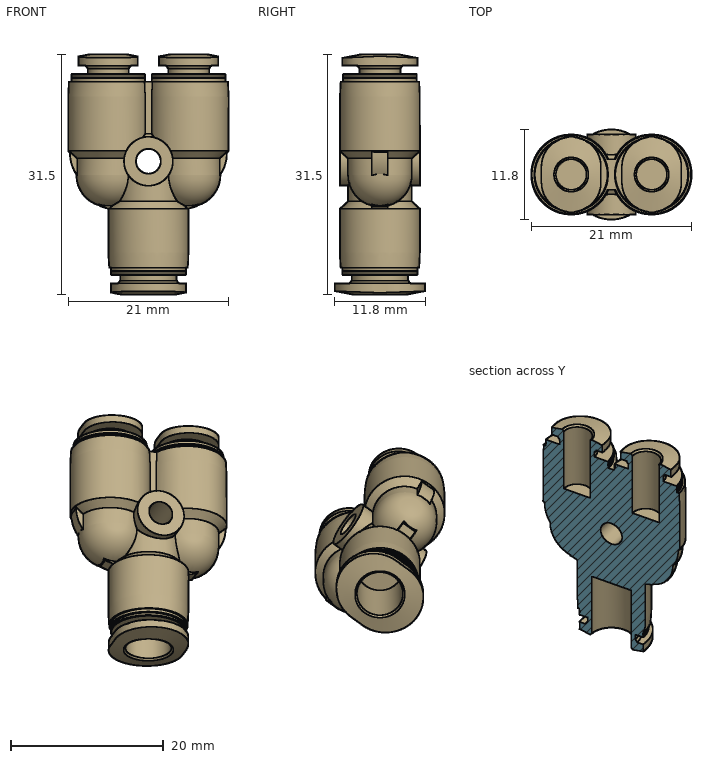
import cadquery as cq
import math

height = 31.5
body_radius = 5.243
port_offset = 5.25
core_radius = 4.2
shoulder_height = 0.98

crown_height = 0.5
flange_back = 1.5
flare_end = 1.9
collar_end = 2.58
collar_chamfer = 0.1
groove_start = 3.05
groove_width = 0.13
groove_depth = 0.1
body_end = 3.6
crowned_body_end = 5.57
crowned_end_inset = 0.1
lower_body_length = 11.27
upper_body_length = 12.65

neck_flare = 0.28
bore_chamfer = 0.25
crown_rim = 0.1
bore_depth = 9.45

dome_z = 15.7

boss_z = 17.48
boss_diameter = 6.4
hole_diameter = 3.2

web_top = height - body_end
web_half = 2.0
web_base_half = 2.7
web_step_top = 21.07
web_step_bottom = 20.55

rib_thickness = 2.08
upper_body_bottom = height - upper_body_length
rib_top_x = 10.25
rib_mid_x = 10.08
rib_mid_z = 17.15
rib_dome_x = 9.38
rib_foot_x = 6.3
rib_foot_z = 11.6


def make_body(length, collar_radius):
    """Body with its outer end facing down at Z = 0."""
    groove_radius = collar_radius - groove_depth
    groove_end = groove_start + groove_width
    return (
        cq.Workplane("XZ")
        .moveTo(0, collar_end)
        .lineTo(collar_radius - collar_chamfer, collar_end)
        .lineTo(collar_radius, collar_end + collar_chamfer)
        .lineTo(collar_radius, groove_start)
        .lineTo(groove_radius, groove_start)
        .lineTo(groove_radius, groove_end)
        .lineTo(collar_radius, groove_end)
        .lineTo(collar_radius, body_end)
        .lineTo(body_radius - crowned_end_inset, body_end)
        .threePointArc(
            (body_radius - crowned_end_inset / 4, (body_end + crowned_body_end) / 2),
            (body_radius, crowned_body_end),
        )
        .lineTo(body_radius, length)
        .lineTo(core_radius, length + shoulder_height)
        .lineTo(0, length + shoulder_height)
        .close()
        .revolve(360, (0, 0), (0, 1))
    )


def make_button(button_length, button_width, neck_radius, bore_radius):
    """Release button: slot-shaped flange with a conical face, on a round neck."""
    half_length = button_length / 2
    flange = (
        cq.Workplane("XY")
        .slot2D(button_length, button_width, 90)
        .extrude(flange_back)
    )
    face_radius = bore_radius + bore_chamfer + crown_rim
    crown = (
        cq.Workplane("XZ")
        .moveTo(0, 0)
        .lineTo(face_radius, 0)
        .lineTo(half_length, crown_height)
        .lineTo(half_length, flange_back)
        .lineTo(0, flange_back)
        .close()
        .revolve(360, (0, 0), (0, 1))
    )
    neck = (
        cq.Workplane("XZ")
        .moveTo(0, flange_back)
        .lineTo(neck_radius + neck_flare, flange_back)
        .lineTo(neck_radius, flare_end)
        .lineTo(neck_radius, collar_end)
        .lineTo(0, collar_end)
        .close()
        .revolve(360, (0, 0), (0, 1))
    )
    return flange.intersect(crown).union(neck)


def make_bore(radius):
    """Blind tube bore with a chamfered mouth at Z = 0."""
    return (
        cq.Workplane("XZ")
        .moveTo(0, 0)
        .lineTo(radius + bore_chamfer, 0)
        .lineTo(radius, bore_chamfer)
        .lineTo(radius, bore_depth)
        .lineTo(0, bore_depth)
        .close()
        .revolve(360, (0, 0), (0, 1))
    )


def make_port(length, collar_diameter, button_length, button_width, neck_diameter, bore_diameter):
    """Complete port facing down, with its bore cut."""
    bore_radius = bore_diameter / 2
    body = make_body(length, collar_diameter / 2)
    button = make_button(button_length, button_width, neck_diameter / 2, bore_radius)
    return body.union(button).cut(make_bore(bore_radius))


def make_dome():
    """Round core under an upper port, closed by a hemisphere."""
    core_top = upper_body_bottom - shoulder_height
    arc_step = core_radius * math.sqrt(0.5)
    return (
        cq.Workplane("XZ")
        .moveTo(0, dome_z - core_radius)
        .threePointArc((arc_step, dome_z - arc_step), (core_radius, dome_z))
        .lineTo(core_radius, core_top)
        .lineTo(0, core_top)
        .close()
        .revolve(360, (0, 0), (0, 1))
    )


def make_web():
    """Plate between the upper ports, with sloped steps to a thicker base."""
    return (
        cq.Workplane("YZ")
        .polyline([
            (-web_base_half, boss_z),
            (web_base_half, boss_z),
            (web_base_half, web_step_bottom),
            (web_half, web_step_top),
            (web_half, web_top),
            (-web_half, web_top),
            (-web_half, web_step_top),
            (-web_base_half, web_step_bottom),
        ])
        .close()
        .extrude(port_offset / 2, both=True)
    )


def make_rib():
    return (
        cq.Workplane("XZ")
        .moveTo(-rib_top_x, upper_body_bottom)
        .threePointArc((-rib_mid_x, rib_mid_z), (-rib_dome_x, dome_z))
        .lineTo(-rib_foot_x, rib_foot_z)
        .lineTo(-body_radius, lower_body_length)
        .lineTo(body_radius, lower_body_length)
        .lineTo(rib_foot_x, rib_foot_z)
        .lineTo(rib_dome_x, dome_z)
        .threePointArc((rib_mid_x, rib_mid_z), (rib_top_x, upper_body_bottom))
        .close()
        .extrude(rib_thickness / 2, both=True)
    )


lower_port = make_port(
    length=lower_body_length,
    collar_diameter=9.85,
    button_length=11.8,
    button_width=9.82,
    neck_diameter=7.4,
    bore_diameter=6.0,
)
upper_port = make_port(
    length=upper_body_length,
    collar_diameter=9.67,
    button_length=9.85,
    button_width=7.78,
    neck_diameter=5.4,
    bore_diameter=4.0,
)
upper_port = upper_port.rotate((0, 0, 0), (1, 0, 0), 180).translate((0, 0, height))
upper_port = upper_port.union(make_dome())

column = (
    cq.Workplane("XY")
    .workplane(offset=lower_body_length)
    .circle(core_radius)
    .extrude(boss_z - lower_body_length)
)
boss = (
    cq.Workplane("XZ")
    .center(0, boss_z)
    .circle(boss_diameter / 2)
    .extrude(body_radius, both=True)
)
boss_hole = (
    cq.Workplane("XZ")
    .center(0, boss_z)
    .circle(hole_diameter / 2)
    .extrude(body_radius, both=True)
)

result = lower_port.union(column).union(make_web()).union(make_rib()).union(boss)
for x in (-port_offset, port_offset):
    result = result.union(upper_port.translate((x, 0, 0)))
result = result.cut(boss_hole)